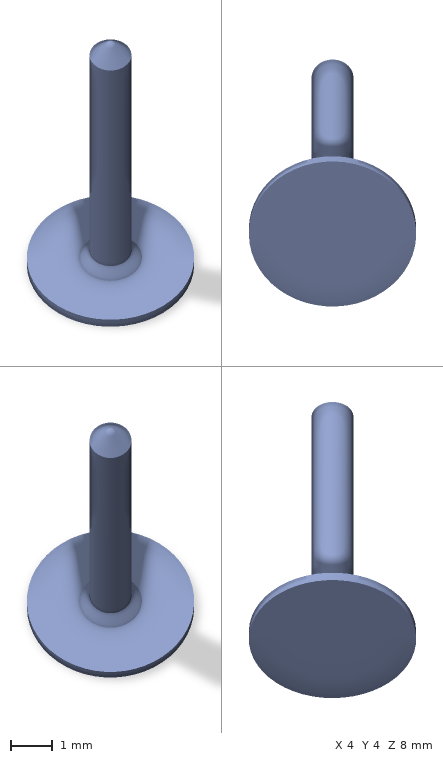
import cadquery as cq

total_height = 8.0
head_diameter = 4.0
head_thickness = 0.25
shank_diameter = 1.0
collar_size = 0.25

head_radius = head_diameter / 2
shank_radius = shank_diameter / 2
collar_radius = shank_radius + collar_size
collar_top = head_thickness + collar_size
tip_height = shank_radius
tip_base = total_height - tip_height


def pin_half_profile():
    """Half section of the pin in the XZ plane, from the axis outwards."""
    return (
        cq.Workplane("XZ")
        .lineTo(head_radius, 0)
        .lineTo(head_radius, head_thickness)
        .lineTo(collar_radius, head_thickness)
        .lineTo(shank_radius, collar_top)
        .lineTo(shank_radius, tip_base)
        .lineTo(0, total_height)
        .close()
    )


result = pin_half_profile().revolve(360, (0, 0, 0), (0, 1, 0))